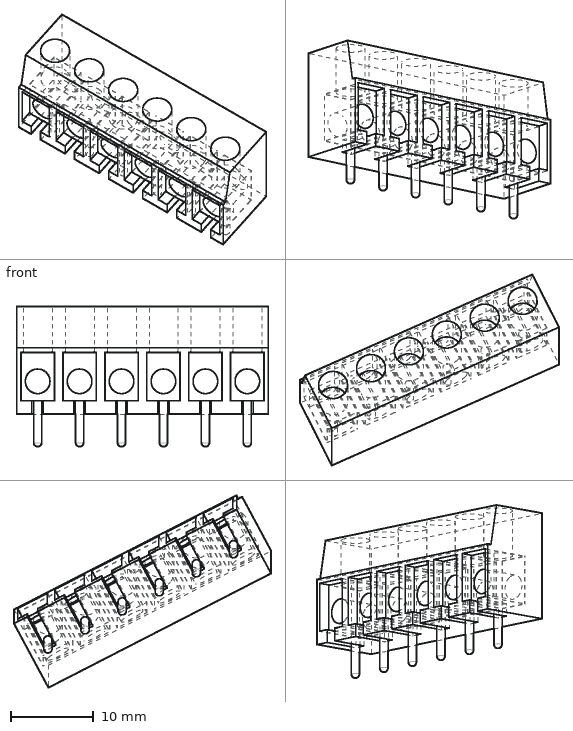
import cadquery as cq


pole_count = 6
housing_length = 30.48
pitch = housing_length / pole_count
pole_centers = [(index + 0.5) * pitch for index in range(pole_count)]

housing_depth = 9.0
housing_height = 13.05
ledge_height = 8.05
ledge_width = 0.52
top_setback = 1.43

pin_axis_y = 4.02

clearance = 0.045
contact_width = 4.0
contact_front = 1.5
contact_depth = 2 * (pin_axis_y - contact_front)
contact_back = contact_front + contact_depth

pocket_width = contact_width + 2 * clearance
pocket_floor = 1.6
pocket_top = 7.5
contact_bottom = pocket_floor + clearance
contact_top = pocket_top - clearance

wire_bore_diameter = 3.0
wire_bore_height = 3.95

screw_bore_diameter = 3.5

pin_diameter = 1.0
pin_radius = pin_diameter / 2
pin_drop = 3.95

slot_width = 1.4
slot_end = pin_axis_y + slot_width / 2


def block(center_x, width, y_range, z_range):
    """Rectangular block centered on a pole, between the given Y and Z limits."""
    front, back = y_range
    bottom, top = z_range
    return (
        cq.Workplane("XY", origin=(center_x, front, bottom))
        .box(width, back - front, top - bottom, centered=(True, False, False))
    )


def screw_bore(center_x):
    """Cylinder from the top face down to the pocket."""
    return (
        cq.Workplane("XY", origin=(center_x, pin_axis_y, pocket_top))
        .circle(screw_bore_diameter / 2)
        .extrude(housing_height - pocket_top)
    )


def make_housing():
    """Stepped, sloped block with the pocket, pin slot and screw bore of every pole."""
    body = (
        cq.Workplane("YZ")
        .moveTo(0, 0)
        .lineTo(housing_depth, 0)
        .lineTo(housing_depth, housing_height)
        .lineTo(top_setback, housing_height)
        .lineTo(ledge_width, ledge_height)
        .lineTo(0, ledge_height)
        .close()
        .extrude(housing_length)
    )
    for center_x in pole_centers:
        pocket = block(center_x, pocket_width, (0, contact_back), (pocket_floor, pocket_top))
        pin_slot = block(center_x, slot_width, (0, slot_end), (0, pocket_floor))
        body = body.cut(pocket).cut(pin_slot).cut(screw_bore(center_x))
    return body.solids()


def wire_bore(center_x):
    """Cylinder along Y through the whole contact block."""
    return (
        cq.Workplane("XZ", origin=(center_x, contact_front, wire_bore_height))
        .circle(wire_bore_diameter / 2)
        .extrude(-contact_depth)
    )


def solder_pin(center_x):
    """Round pin with a hemispherical tip, hanging from the contact block."""
    return (
        cq.Workplane("XZ", origin=(center_x, pin_axis_y, 0))
        .moveTo(0, contact_bottom)
        .lineTo(pin_radius, contact_bottom)
        .lineTo(pin_radius, pin_radius - pin_drop)
        .radiusArc((0, -pin_drop), pin_radius)
        .close()
        .revolve(360, (0, 0), (0, 1))
    )


def make_contact(center_x):
    """Clamp block with its wire bore and solder pin, joined into one solid."""
    clamp = block(center_x, contact_width, (contact_front, contact_back), (contact_bottom, contact_top))
    return clamp.cut(wire_bore(center_x)).union(solder_pin(center_x)).solids()


housing = make_housing()
contacts = [make_contact(center_x) for center_x in pole_centers]

result = cq.Compound.makeCompound([housing.val(), *[contact.val() for contact in contacts]])